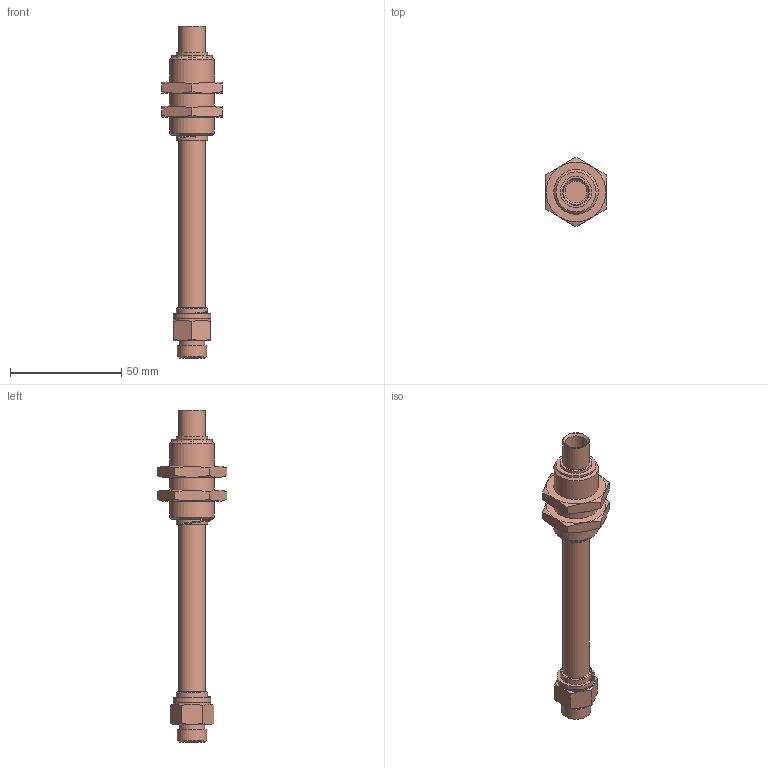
import cadquery as cq
import math

total_height = 148.91

rod_diameter = 12.0
socket_diameter = 9.7
socket_depth = 10.0
socket_mouth_diameter = 11.45

hexagon_chamfer_angle = 20.0

body_diameter = 20.0
body_end_diameter = 18.0
body_bottom = 99.85
body_top = 135.8
top_land = 0.9
body_chamfer = (body_diameter - body_end_diameter) / 2
bush_diameter = 14.0
bush_bottom = 97.7
bush_top = 137.1
nut_across_flats = 27.0
nut_face_diameter = 26.8
nut_thickness = 5.0
nut_bottoms = (108.0, 118.7)

hex_across_flats = 17.0
hex_face_diameter = 16.6
hex_bottom = 7.8
hex_top = 17.0

seat_diameter = 17.0
seat_bottom = 17.5
seat_top = 19.85
seat_chamfer = 0.4
spigot_diameter = 14.0
spigot_top = 22.6
spigot_chamfer = 0.4

thread_diameter = 13.16
thread_root_diameter = 11.45
thread_top = 5.8
thread_chamfer_height = 0.5

wire_diameter = 1.5
spring_inner_diameter = 13.92
spring_turns = 16
spring_pitch = 5.0
spring_end_angle = -79.0
spring_length = spring_turns * spring_pitch


def cylinder(diameter, bottom, top):
    return cq.Workplane("XY").workplane(offset=bottom).circle(diameter / 2).extrude(top - bottom)


def cone(bottom_diameter, top_diameter, bottom, top):
    profile = [(0, bottom), (bottom_diameter / 2, bottom), (top_diameter / 2, top), (0, top)]
    return cq.Workplane("XZ").polyline(profile).close().revolve(360, (0, 0), (0, 1))


def chamfered_hexagon(across_flats, face_diameter, bottom, top):
    """Hexagonal prism with corners on the Y axis, turned down at both faces by a shallow cone."""
    across_corners = across_flats / math.cos(math.radians(30))
    corner_drop = (across_corners - face_diameter) / 2 * math.tan(math.radians(hexagon_chamfer_angle))
    prism = (
        cq.Workplane("XY")
        .workplane(offset=bottom)
        .transformed(rotate=(0, 0, 30))
        .polygon(6, across_corners)
        .extrude(top - bottom)
    )
    profile = [
        (0, bottom),
        (face_diameter / 2, bottom),
        (across_corners / 2, bottom + corner_drop),
        (across_corners / 2, top - corner_drop),
        (face_diameter / 2, top),
        (0, top),
    ]
    turned = cq.Workplane("XZ").polyline(profile).close().revolve(360, (0, 0), (0, 1))
    return prism.intersect(turned)


def make_rod():
    rod = cylinder(rod_diameter, hex_bottom, total_height)
    socket = cylinder(socket_diameter, total_height - socket_depth, total_height)
    mouth_depth = (socket_mouth_diameter - socket_diameter) / 2
    mouth = cone(socket_diameter, socket_mouth_diameter, total_height - mouth_depth, total_height)
    return rod.cut(socket).cut(mouth)


def make_body():
    shoulder = body_top - top_land
    barrel = cylinder(body_diameter, body_bottom, shoulder).faces("<Z or >Z").chamfer(body_chamfer)
    land = cylinder(body_end_diameter, shoulder, body_top)
    bush = cylinder(bush_diameter, bush_bottom, bush_top)
    body = barrel.union(land).union(bush)
    for bottom in nut_bottoms:
        nut = chamfered_hexagon(nut_across_flats, nut_face_diameter, bottom, bottom + nut_thickness)
        body = body.union(nut)
    return body


def make_fitting():
    hexagon = chamfered_hexagon(hex_across_flats, hex_face_diameter, hex_bottom, hex_top)
    collar = cylinder(hex_face_diameter, hex_top, seat_bottom)
    seat = cylinder(seat_diameter, seat_bottom, seat_top).faces("<Z").chamfer(seat_chamfer)
    spigot = cylinder(spigot_diameter, seat_top, spigot_top).faces(">Z").chamfer(spigot_chamfer)
    return hexagon.union(collar).union(seat).union(spigot)


def make_nipple():
    root = cylinder(thread_root_diameter, thread_top, hex_bottom)
    thread = cylinder(thread_diameter, thread_chamfer_height, thread_top)
    lead_in = cone(thread_root_diameter, thread_diameter, 0, thread_chamfer_height)
    return root.union(thread).union(lead_in)


def make_spring():
    coil_radius = (spring_inner_diameter + wire_diameter) / 2
    helix = cq.Wire.makeHelix(spring_pitch, spring_length, coil_radius)
    spring = cq.Workplane("XZ").center(coil_radius, 0).circle(wire_diameter / 2).sweep(helix, isFrenet=True)
    return spring.rotate((0, 0, 0), (0, 0, 1), spring_end_angle).translate((0, 0, seat_top))


result = make_rod().union(make_body()).union(make_fitting()).union(make_nipple()).union(make_spring())